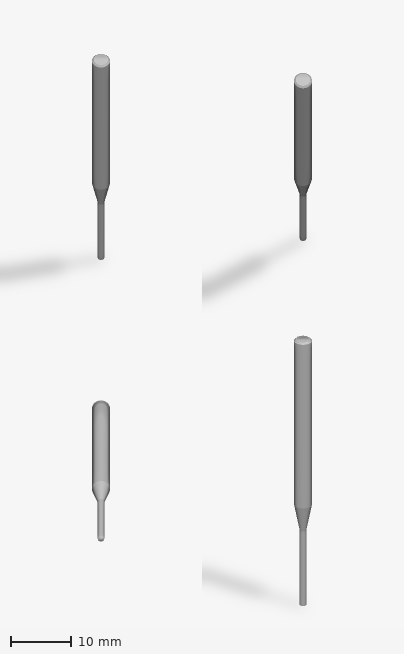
import cadquery as cq
import math

total_length = 50.0
shank_diameter = 3.0
cutter_diameter = 1.1
neck_diameter = cutter_diameter

cutter_top = 11.65
neck_top = 14.25
cone_top = 19.1

shank_chamfer = 0.3
point_angle = 120.0

shank_radius = shank_diameter / 2
neck_radius = neck_diameter / 2
cutter_radius = cutter_diameter / 2
point_height = cutter_radius / math.tan(math.radians(point_angle / 2))


def revolve_profile(points):
    """Turn a half outline of (radius, height) points around the Z axis."""
    return cq.Workplane("XZ").polyline(points).close().revolve(360, (0, 0), (0, 1))


def make_shank():
    """Chamfered shank that tapers down to a slim neck."""
    return revolve_profile([
        (0, cutter_top),
        (neck_radius, cutter_top),
        (neck_radius, neck_top),
        (shank_radius, cone_top),
        (shank_radius, total_length - shank_chamfer),
        (shank_radius - shank_chamfer, total_length),
        (0, total_length),
    ])


def make_cutter():
    """Cylindrical cutting part with a conical point, ending flat against the neck."""
    return revolve_profile([
        (0, 0),
        (cutter_radius, point_height),
        (cutter_radius, cutter_top),
        (0, cutter_top),
    ])


shank = make_shank()
cutter = make_cutter()

result = cq.Compound.makeCompound([shank.val(), cutter.val()])